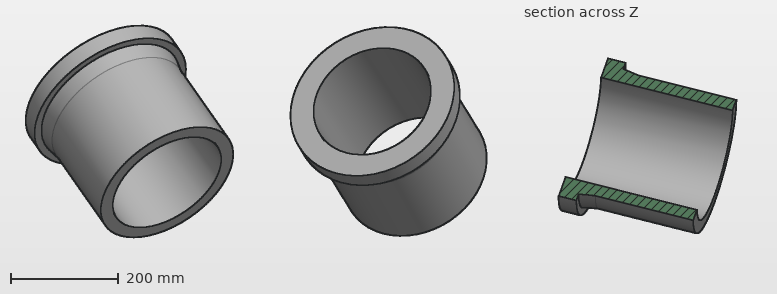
import cadquery as cq

flange_diameter = 320.0
pipe_diameter = 280.0
bore_diameter = 229.0
collar_diameter = 291.0

total_length = 255.0
flange_length = 35.0
collar_length = 30.0
collar_end = flange_length + collar_length

half_section = (
    cq.Workplane("XY")
    .moveTo(0, bore_diameter / 2)
    .lineTo(0, flange_diameter / 2)
    .lineTo(flange_length, flange_diameter / 2)
    .lineTo(flange_length, collar_diameter / 2)
    .lineTo(collar_end, pipe_diameter / 2)
    .lineTo(total_length, pipe_diameter / 2)
    .lineTo(total_length, bore_diameter / 2)
    .close()
)

result = half_section.revolve(360, (0, 0, 0), (1, 0, 0))